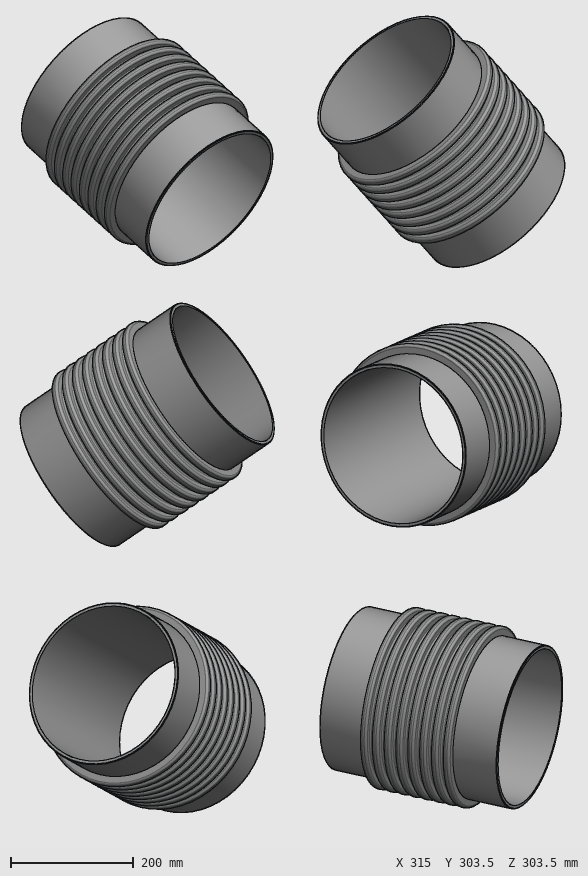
import cadquery as cq
import math

length = 315.0
pipe_diameter = 273.0
bore_diameter = 261.0
end_chamfer = 1.3

rib_diameter = 303.5
rib_count = 8
rib_band_length = 159.0
rib_width = 12.0
crest_radius = 4.0
root_radius = 2.5

pipe_radius = pipe_diameter / 2
bore_radius = bore_diameter / 2
rib_radius = rib_diameter / 2
half_width = rib_width / 2
rib_pitch = (rib_band_length - rib_width) / (rib_count - 1)
first_rib_x = -(rib_band_length - rib_width) / 2
wall_middle_radius = (pipe_radius + bore_radius) / 2
arc_midpoint = 1 - math.sqrt(0.5)


def revolve_about_x(profile):
    return profile.close().revolve(360, (0, 0, 0), (1, 0, 0))


def make_pipe():
    """Tube with its outer rims chamfered."""
    outside = cq.Workplane("YZ").circle(pipe_radius).extrude(length / 2, both=True)
    bore = cq.Workplane("YZ").circle(bore_radius).extrude(length / 2, both=True)
    return outside.faces("<X or >X").edges().chamfer(end_chamfer).cut(bore)


def make_rib(center_x):
    """Ring with rounded crest corners, rooted inside the pipe wall."""
    left = center_x - half_width
    right = center_x + half_width
    crest_inset = crest_radius * arc_midpoint
    shoulder_radius = rib_radius - crest_radius
    profile = (
        cq.Workplane("XY")
        .moveTo(left, wall_middle_radius)
        .lineTo(left, shoulder_radius)
        .threePointArc((left + crest_inset, rib_radius - crest_inset), (left + crest_radius, rib_radius))
        .lineTo(right - crest_radius, rib_radius)
        .threePointArc((right - crest_inset, rib_radius - crest_inset), (right, shoulder_radius))
        .lineTo(right, wall_middle_radius)
    )
    return revolve_about_x(profile)


def make_valley(start_x, end_x):
    """Filler between two ribs, with a concave fillet against each of them."""
    inset = root_radius * arc_midpoint
    fillet_top = pipe_radius + root_radius
    profile = (
        cq.Workplane("XY")
        .moveTo(start_x, wall_middle_radius)
        .lineTo(start_x, fillet_top)
        .threePointArc((start_x + inset, pipe_radius + inset), (start_x + root_radius, pipe_radius))
        .lineTo(end_x - root_radius, pipe_radius)
        .threePointArc((end_x - inset, pipe_radius + inset), (end_x, fillet_top))
        .lineTo(end_x, wall_middle_radius)
    )
    return revolve_about_x(profile)


result = make_pipe()

rib_centers = [first_rib_x + i * rib_pitch for i in range(rib_count)]

for rib_x in rib_centers:
    result = result.union(make_rib(rib_x))

for rib_x in rib_centers[:-1]:
    valley_start = rib_x + half_width
    valley_end = rib_x + rib_pitch - half_width
    result = result.union(make_valley(valley_start, valley_end))